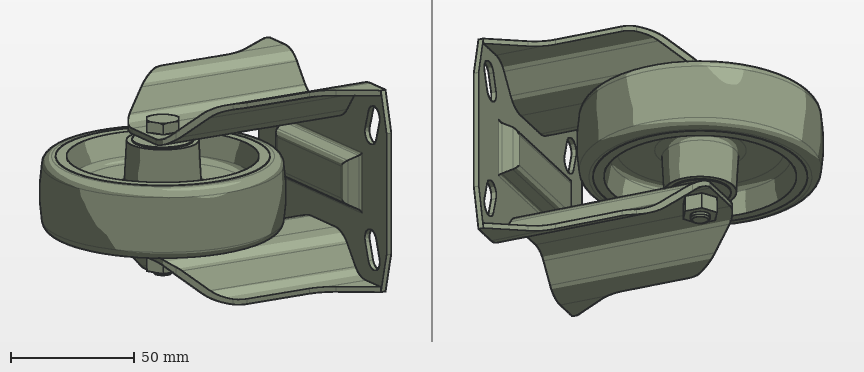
import cadquery as cq
import math


sheet = 2.25
plate_back = 78.0
plate_front = plate_back - sheet
bracket_height = 85.0
plate_width = 100.0
plate_edge_height = 51.0
leg_root_width = 91.0
leg_gap = 47.0
leg_end = -9.0
waist_width = 65.0
neck_y = 55.5
shoulder_y = 17.0
leg_end_width = 29.6
neck_radius = 20.0
leg_corner_radius = 10.0

valley_width = 19.0
bend_radius = 10.0
bend_angle = math.radians(52)

slot_width = 9.0
slot_outer_end = (40.0, 30.0)
slot_inner_end = (37.5, 22.5)

rib_length = 60.0
rib_width = 23.6
rib_height = 6.5
rib_taper = 26.0
rib_top_radius = 3.0
rib_root_radius = 1.5

wheel_diameter = 100.0
tyre_width = 30.0
tread_edge_diameter = 98.2
tread_width = 23.0
tyre_face_diameter = 90.4
tyre_bore = 87.0
core_face_diameter = 86.8
rim_inner_diameter = 78.0
rim_root_diameter = 73.0
web_thickness = 6.0
rim_root_radius = 3.0
hub_end_diameter = 29.4
hub_root_diameter = 31.4
hub_width = 43.6
hub_root_radius = 3.0
hub_pad_diameter = 25.0
hub_pad_width = 44.6
spacer_diameter = 12.0

bolt_diameter = 8.0
bolt_tip_diameter = 6.65
tip_chamfer_height = 0.8
bolt_end = -34.4
hex_across_flats = 13.0
head_height = 5.0
nut_height = 6.7
washer_face_diameter = 11.47
washer_face_height = 0.3
head_top_diameter = 13.6
head_chamfer_angle = math.radians(30)

leg_outer_z = leg_gap / 2 + sheet

pick_margin = 0.5


def channel_region(inset):
    """Block bounded above and below by the leg surface, moved inwards by inset."""
    valley_r = bend_radius + inset
    crest_r = bend_radius + sheet - inset
    valley_x = valley_width / 2
    valley_center_z = leg_outer_z + bend_radius
    crest_center_z = bracket_height / 2 - bend_radius - sheet
    both_radii = valley_r + crest_r
    drop = bracket_height / 2 - leg_outer_z
    slope_run = (drop - both_radii * (1 - math.cos(bend_angle))) / math.tan(bend_angle)
    crest_x = valley_x + both_radii * math.sin(bend_angle) + slope_run

    def on_valley(angle):
        return (valley_x + valley_r * math.sin(angle), valley_center_z - valley_r * math.cos(angle))

    def on_crest(angle):
        return (crest_x - crest_r * math.sin(angle), crest_center_z + crest_r * math.cos(angle))

    quarter = (
        cq.Workplane("XZ", origin=(0, plate_back, 0))
        .lineTo(0, valley_center_z - valley_r)
        .lineTo(*on_valley(0))
        .threePointArc(on_valley(bend_angle / 2), on_valley(bend_angle))
        .lineTo(*on_crest(bend_angle))
        .threePointArc(on_crest(bend_angle / 2), on_crest(0))
        .lineTo(plate_width / 2, crest_center_z + crest_r)
        .lineTo(plate_width / 2, 0)
        .close()
        .extrude(plate_back - leg_end)
    )
    half = quarter.union(quarter.mirror("YZ"))
    return half.union(half.mirror("XY"))


def leg_outline():
    """Plan shape of the legs, extruded through the whole bracket height."""
    right_side = [
        (leg_root_width / 2, plate_back),
        (leg_root_width / 2, plate_front),
        (waist_width / 2, neck_y),
        (waist_width / 2, shoulder_y),
        (leg_end_width / 2, leg_end),
    ]
    left_side = [(-x, y) for x, y in reversed(right_side)]
    blank = (
        cq.Workplane("XY", origin=(0, 0, -bracket_height / 2))
        .polyline(right_side + left_side)
        .close()
        .extrude(bracket_height)
    )

    def edges_at(x, y):
        """Selectors for the matching corner edges on the left and right."""
        for side in (-1, 1):
            yield cq.selectors.BoxSelector(
                (side * x - pick_margin, y - pick_margin, -bracket_height),
                (side * x + pick_margin, y + pick_margin, bracket_height),
            )

    corners = [
        (waist_width / 2, neck_y, neck_radius),
        (waist_width / 2, shoulder_y, leg_corner_radius),
        (leg_end_width / 2, leg_end, leg_corner_radius),
    ]
    for x, y, radius in corners:
        for selector in edges_at(x, y):
            blank = blank.edges("|Z").edges(selector).fillet(radius)
    return blank


def mounting_plate():
    half_outline = [
        (leg_root_width / 2, bracket_height / 2),
        (plate_width / 2, plate_edge_height / 2),
        (plate_width / 2, -plate_edge_height / 2),
        (leg_root_width / 2, -bracket_height / 2),
    ]
    other_half = [(-x, z) for x, z in reversed(half_outline)]
    plate = (
        cq.Workplane("XZ", origin=(0, plate_back, 0))
        .polyline(half_outline + other_half)
        .close()
        .extrude(sheet)
    )
    return plate.intersect(channel_region(0))


def slot_cutter():
    """One slanted slot, in the +X +Z corner of the plate."""
    dx = slot_outer_end[0] - slot_inner_end[0]
    dz = slot_outer_end[1] - slot_inner_end[1]
    middle_x = (slot_outer_end[0] + slot_inner_end[0]) / 2
    middle_z = (slot_outer_end[1] + slot_inner_end[1]) / 2
    return (
        cq.Workplane("XZ", origin=(0, plate_back, 0))
        .center(middle_x, middle_z)
        .slot2D(math.hypot(dx, dz) + slot_width, slot_width, math.degrees(math.atan2(dz, dx)))
        .extrude(sheet)
    )


def stiffening_rib():
    return (
        cq.Workplane("XZ", origin=(0, plate_front, 0))
        .rect(rib_length, rib_width)
        .extrude(rib_height, taper=rib_taper)
        .faces("<Y")
        .edges()
        .fillet(rib_top_radius)
    )


def make_bracket():
    legs = channel_region(0).cut(channel_region(sheet)).intersect(leg_outline())
    bolt_hole = cq.Workplane("XY").circle(bolt_diameter / 2).extrude(bracket_height / 2, both=True)
    bracket = mounting_plate().union(stiffening_rib())
    rib_root = cq.selectors.BoxSelector(
        (-rib_length / 2 - pick_margin, plate_front - pick_margin, -rib_width / 2 - pick_margin),
        (rib_length / 2 + pick_margin, plate_front + pick_margin, rib_width / 2 + pick_margin),
    )
    bracket = bracket.edges(rib_root).fillet(rib_root_radius)
    bracket = bracket.union(legs).cut(bolt_hole)
    slot = slot_cutter()
    for cutter in (slot, slot.mirror("YZ")):
        bracket = bracket.cut(cutter).cut(cutter.mirror("XY"))
    return bracket


def revolve_about_axle(half_section):
    return half_section.revolve(360, (0, 0, 0), (0, 1, 0))


def make_tyre():
    face_z = tyre_width / 2
    edge_z = tread_width / 2
    edge_r = tread_edge_diameter / 2
    face_r = tyre_face_diameter / 2
    corner_bulge = 1 - math.sqrt(0.5)
    shoulder_r = edge_r - (edge_r - face_r) * corner_bulge
    shoulder_z = face_z - (face_z - edge_z) * corner_bulge
    section = (
        cq.Workplane("XZ")
        .moveTo(tyre_bore / 2, -face_z)
        .lineTo(face_r, -face_z)
        .threePointArc((shoulder_r, -shoulder_z), (edge_r, -edge_z))
        .threePointArc((wheel_diameter / 2, 0), (edge_r, edge_z))
        .threePointArc((shoulder_r, shoulder_z), (face_r, face_z))
        .lineTo(tyre_bore / 2, face_z)
        .close()
    )
    return revolve_about_axle(section)


def make_core():
    """Rim, web and hub in one piece, with the spacer ends reaching both legs."""
    face_z = tyre_width / 2
    web_z = web_thickness / 2
    rim_chamfer = (tyre_bore - core_face_diameter) / 2
    upper_half = [
        (bolt_diameter / 2, leg_gap / 2),
        (spacer_diameter / 2, leg_gap / 2),
        (spacer_diameter / 2, hub_pad_width / 2),
        (hub_pad_diameter / 2, hub_pad_width / 2),
        (hub_pad_diameter / 2, hub_width / 2),
        (hub_end_diameter / 2, hub_width / 2),
        (hub_root_diameter / 2, web_z),
        (rim_root_diameter / 2, web_z),
        (rim_inner_diameter / 2, face_z),
        (core_face_diameter / 2, face_z),
        (tyre_bore / 2, face_z - rim_chamfer),
    ]
    lower_half = [(r, -z) for r, z in reversed(upper_half)]
    core = revolve_about_axle(cq.Workplane("XZ").polyline(upper_half + lower_half).close())
    for root_diameter, radius in (
        (hub_root_diameter, hub_root_radius),
        (rim_root_diameter, rim_root_radius),
    ):
        root_edges = [
            edge
            for edge in core.edges("%CIRCLE").vals()
            if math.isclose(edge.radius(), root_diameter / 2, abs_tol=pick_margin)
        ]
        core = core.newObject(root_edges).fillet(radius)
    return core


def hexagon(start_z, height):
    """Hexagonal prism on the axle with two corners on the Y axis."""
    corner_diameter = hex_across_flats / math.cos(math.pi / 6)
    return (
        cq.Workplane("XY", origin=(0, 0, start_z))
        .transformed(rotate=(0, 0, 90))
        .polygon(6, corner_diameter)
        .extrude(height)
    )


def make_bolt():
    seat_z = leg_outer_z
    head_top = seat_z + head_height
    hex_start = seat_z + washer_face_height
    cone_base_r = head_top_diameter / 2 + head_height / math.tan(head_chamfer_angle)
    chamfer_cone = revolve_about_axle(
        cq.Workplane("XZ").polyline([
            (0, seat_z),
            (cone_base_r, seat_z),
            (head_top_diameter / 2, head_top),
            (0, head_top),
        ]).close()
    )
    head = hexagon(hex_start, head_top - hex_start).intersect(chamfer_cone)
    shank = revolve_about_axle(
        cq.Workplane("XZ").polyline([
            (0, bolt_end),
            (bolt_tip_diameter / 2, bolt_end),
            (bolt_diameter / 2, bolt_end + tip_chamfer_height),
            (bolt_diameter / 2, seat_z),
            (washer_face_diameter / 2, seat_z),
            (washer_face_diameter / 2, hex_start),
            (0, hex_start),
        ]).close()
    )
    return head.union(shank)


def make_nut():
    nut = hexagon(-leg_outer_z - nut_height, nut_height)
    return nut.cut(
        cq.Workplane("XY", origin=(0, 0, -leg_outer_z))
        .circle(bolt_diameter / 2)
        .extrude(-nut_height)
    )


bracket = make_bracket()
tyre = make_tyre()
core = make_core()
bolt = make_bolt()
nut = make_nut()

result = cq.Compound.makeCompound([
    bracket.val(),
    tyre.val(),
    core.val(),
    bolt.val(),
    nut.val(),
])